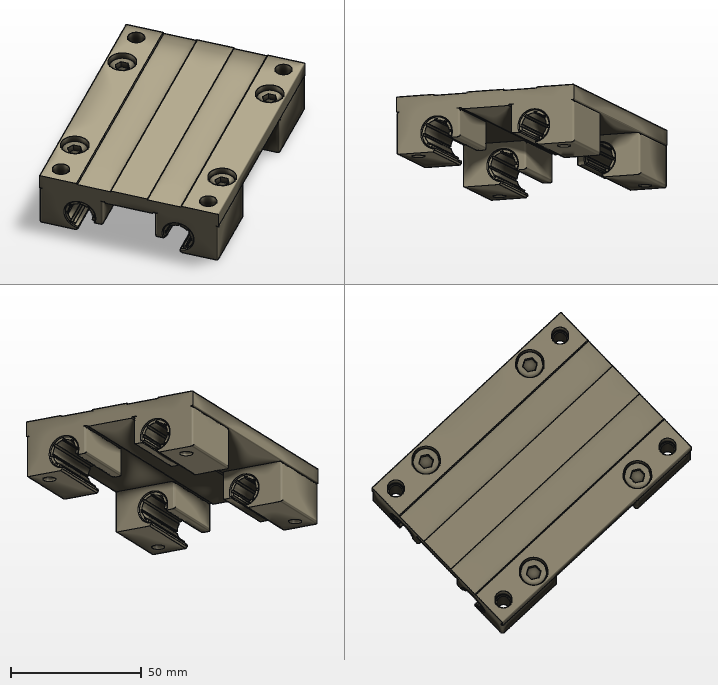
import cadquery as cq
import math

plate_width = 73.0
plate_length = 100.0
total_height = 22.5
seat_height = 16.5
rib_bottom = 16.0
rib_width = 20.0
rib_edge_chamfer = seat_height - rib_bottom
plate_edge_radius = 0.4
groove_inner_x = 7.5
groove_outer_x = 21.4
groove_depth = 0.4
groove_slope = 0.4

block_width = 26.0
block_length = 29.0
block_edge_radius = 1.0
leg_bottom = 5.2
lip_x = -20.8
lip_corner_chamfer = 0.7
block_outer_x = -plate_width / 2
block_inner_x = block_outer_x + block_width
block_center_y = (plate_length - block_length) / 2

bore_x = -20.0
bore_z = 7.5
bore_radius = 6.1
bore_chamfer = 0.4
liner_radius = 5.0
liner_groove_radius = 5.5
liner_groove_width = 1.0
liner_start = -15.0
liner_end = 248.0
liner_groove_count = 6
liner_groove_first = 5.0
liner_groove_step = 45.0

hole_x = 30.0
hole_offset_y = 8.0
clearance_diameter = 6.6
thread_diameter = 6.0
core_diameter = 5.0
counterbore_diameter = 11.0
head_diameter = 10.0
head_recess = 2.2
head_top = total_height - head_recess
socket_width = 5.0
socket_depth = 2.5
counterbore_web = 0.5
counterbore_floor = seat_height + counterbore_web


def extrude_along_y(outline, length, center_y):
    """Extrude an XZ outline symmetrically about center_y."""
    return outline.extrude(length / 2, both=True).translate((0, center_y, 0))


def cylinder(x, y, bottom, top, diameter):
    return cq.Workplane("XY", origin=(x, y, bottom)).circle(diameter / 2).extrude(top - bottom)


def make_plate():
    groove_floor = total_height - groove_depth
    slab = (
        cq.Workplane("XY", origin=(0, 0, seat_height))
        .box(plate_width, plate_length, total_height - seat_height, centered=(True, True, False))
        .edges("|Y")
        .fillet(plate_edge_radius)
    )
    rib = (
        cq.Workplane("XY", origin=(0, 0, rib_bottom))
        .box(rib_width, plate_length, groove_floor - rib_bottom, centered=(True, True, False))
        .edges("|Y and <Z")
        .chamfer(rib_edge_chamfer)
    )
    plate = slab.union(rib)
    for side in (-1, 1):
        outline = cq.Workplane("XZ").polyline([
            (side * groove_inner_x, total_height),
            (side * groove_inner_x, groove_floor),
            (side * (groove_outer_x - groove_slope), groove_floor),
            (side * groove_outer_x, total_height),
        ]).close()
        plate = plate.cut(extrude_along_y(outline, plate_length, 0))
    return plate


def make_liner():
    """C-shaped liner with lengthwise grooves in its running surface."""
    def polar(radius, angle):
        return (
            bore_x + radius * math.cos(math.radians(angle)),
            bore_z + radius * math.sin(math.radians(angle)),
        )

    middle = (liner_start + liner_end) / 2
    outline = (
        cq.Workplane("XZ")
        .moveTo(*polar(liner_radius, liner_start))
        .lineTo(*polar(bore_radius, liner_start))
        .threePointArc(polar(bore_radius, middle), polar(bore_radius, liner_end))
        .lineTo(*polar(liner_radius, liner_end))
        .threePointArc(polar(liner_radius, middle), polar(liner_radius, liner_start))
        .close()
    )
    liner = extrude_along_y(outline, block_length - 2 * bore_chamfer, block_center_y)
    for index in range(liner_groove_count):
        angle = liner_groove_first + index * liner_groove_step
        groove = (
            cq.Workplane("XY")
            .box(liner_groove_radius, block_length, liner_groove_width, centered=(False, True, True))
            .rotate((0, 0, 0), (0, 1, 0), -angle)
            .translate((bore_x, block_center_y, bore_z))
        )
        liner = liner.cut(groove)
    return liner


def make_block():
    """Bearing block at -X, +Y, with its liner."""
    body = (
        cq.Workplane("XY")
        .box(block_width, block_length, seat_height, centered=(False, True, False))
        .translate((block_outer_x, block_center_y, 0))
    )
    opening = (
        cq.Workplane("XY")
        .box(block_inner_x - lip_x, block_length, leg_bottom, centered=(False, True, False))
        .translate((lip_x, block_center_y, 0))
    )
    body = body.cut(opening)
    body = body.faces("<X or >X").edges().fillet(block_edge_radius)
    lip_corner = cq.selectors.NearestToPointSelector((lip_x, block_center_y, 0))
    body = body.edges(lip_corner).chamfer(lip_corner_chamfer)

    bore = extrude_along_y(
        cq.Workplane("XZ").center(bore_x, bore_z).circle(bore_radius), block_length, block_center_y
    )
    bore_flare = (
        cq.Workplane("XZ", origin=(bore_x, plate_length / 2, bore_z))
        .circle(bore_radius + bore_chamfer)
        .workplane(offset=bore_chamfer)
        .circle(bore_radius)
        .loft()
    )
    other_flare = bore_flare.mirror("XZ").translate((0, 2 * block_center_y, 0))
    return body.cut(bore).cut(bore_flare).cut(other_flare).union(make_liner())


def cut_tapped_hole(part, x, y):
    """Clearance hole in the plate over a countersunk tapped hole in the block."""
    countersink_depth = (thread_diameter - core_diameter) / 2
    countersink = (
        cq.Workplane("XY", origin=(x, y, seat_height))
        .circle(thread_diameter / 2)
        .workplane(offset=-countersink_depth)
        .circle(core_diameter / 2)
        .loft()
    )
    part = part.cut(cylinder(x, y, seat_height, total_height, clearance_diameter))
    part = part.cut(countersink)
    return part.cut(cylinder(x, y, 0, seat_height, core_diameter))


def add_socket_screw(part, x, y):
    """Counterbore with a hexagon socket screw head in it."""
    part = part.cut(cylinder(x, y, counterbore_floor, total_height, counterbore_diameter))
    socket = (
        cq.Workplane("XY", origin=(x, y, head_top - socket_depth))
        .polygon(6, socket_width / math.cos(math.pi / 6))
        .extrude(socket_depth)
    )
    head = cylinder(x, y, counterbore_floor, head_top, head_diameter)
    return part.union(head).cut(socket)


block = make_block()
block_pair = block.union(block.mirror("XZ"))
result = make_plate().union(block_pair).union(block_pair.mirror("YZ"))
for side_x in (-1, 1):
    for side_y in (-1, 1):
        result = cut_tapped_hole(result, side_x * hole_x, side_y * (block_center_y + hole_offset_y))
        result = add_socket_screw(result, side_x * hole_x, side_y * (block_center_y - hole_offset_y))